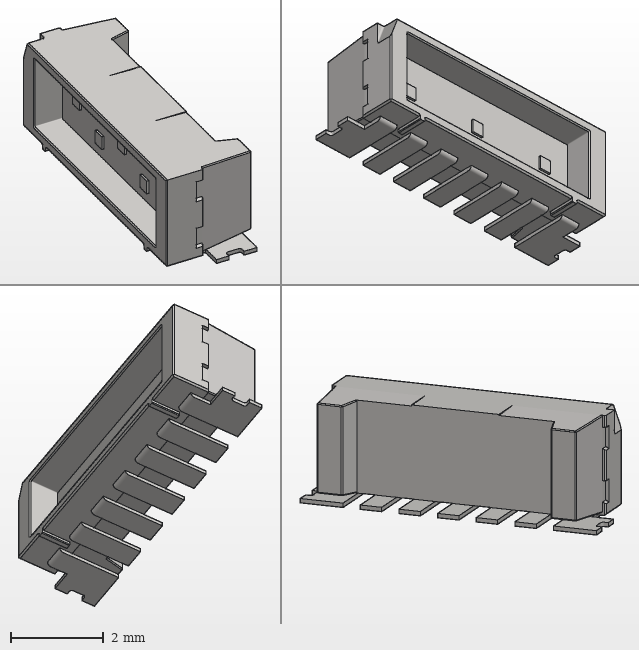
import cadquery as cq

SIDES = (-1, 1)
OVERLAP = 0.1

body_width = 6.4
body_depth = 0.92
body_bottom = 0.1
body_top = 2.35
edge_chamfer = 0.03
bottom_chamfer = 0.04

overall_depth = 2.2
rear_width = 6.24
ear_outer_x = 3.02
ear_inner_x = 2.43
ear_root_x = 2.29
rear_wall_y = 1.7
rear_start_y = 0.95
rear_bottom_front = 0.16
rear_bottom_back = 0.29
top_drop = 0.04
flat_top_width = 2.04
ear_chamfer = 0.025

cavity_width = 5.4
cavity_bottom = 0.355
cavity_top = 2.11
cavity_corner = 0.02
cavity_depth = 0.7
lip_chamfer = 0.03
contact_pitch = 1.0
contact_count = 5
contact_width = 0.3
contact_height = 0.33
contact_length = 0.05
upper_contact_z = 1.23
lower_contact_z = 0.79

key_width = 0.2
key_height = 0.55
key_depth = 0.43
key_fillet = 0.045
recess_bottoms = (0.4, 1.6)
recess_height = 0.48
recess_depth = 0.18
recess_floor_drop = 0.035
rail_x = 2.26
rail_width = 0.14
rail_length = 0.7
rail_bottom = 0.01
rail_fillet = 0.05
rail_chamfer = 0.02

sheet = 0.1
lead_pitch = 0.9
lead_count = 7
lead_width = 0.5
lead_front = 0.6
lead_back = 2.1
bend_radius = 0.1
tab_front = 1.1
tab_end_x = 3.45
tab_notch_depth = 0.15
tab_notch_front = 1.41
tab_notch_back = 1.78
notch_fillet = 0.06


def box(x_min, x_max, y_min, y_max, z_min, z_max):
    """Axis-aligned box given by its limits."""
    size = (x_max - x_min, y_max - y_min, z_max - z_min)
    return cq.Workplane("XY").box(*size, centered=False).translate((x_min, y_min, z_min))


def side_prism(points, x_min, x_max):
    """Extrude a (y, z) outline along X."""
    return cq.Workplane("YZ").polyline(points).close().extrude(x_max - x_min).translate((x_min, 0, 0))


def front_prism(points, y_min, y_max):
    """Extrude an (x, z) outline along Y."""
    return cq.Workplane("XZ").polyline(points).close().extrude(y_min - y_max).translate((0, y_min, 0))


def front_block():
    half = body_width / 2
    block = box(-half, half, 0, body_depth, body_bottom, body_top)
    block = block.edges("<Z and (<X or >X or <Y)").chamfer(bottom_chamfer)
    block = block.faces(">Y").edges("<X or >X").chamfer(edge_chamfer)
    return block.faces("<Y").edges(">Z or <X or >X").chamfer(edge_chamfer)


def rear_block():
    half = rear_width / 2
    right_outline = [
        (half, body_depth),
        (ear_outer_x, overall_depth),
        (ear_inner_x, overall_depth),
        (ear_root_x, rear_wall_y),
    ]
    left_outline = [(-x, y) for x, y in reversed(right_outline)]
    plan = cq.Workplane("XY").polyline(right_outline + left_outline).close().extrude(body_top)

    profile = side_prism(
        [
            (body_depth, rear_bottom_front),
            (overall_depth, rear_bottom_back),
            (overall_depth, body_top - top_drop),
            (rear_start_y, body_top),
            (body_depth, body_top),
        ],
        -half,
        half,
    )
    block = plan.intersect(profile)

    slope_x, slope_y = ((ear_inner_x + ear_root_x) / 2, (rear_wall_y + overall_depth) / 2)
    rims = block.faces(">Y or >X or <X").edges("not <Y")
    for side in SIDES:
        slope_center = (side * slope_x, slope_y, body_top / 2)
        rims = rims.add(block.faces(cq.NearestToPointSelector(slope_center)).edges(">Z or <Z"))
    block = block.newObject(rims.vals()).chamfer(ear_chamfer)

    flat_half = flat_top_width / 2
    flat_top = box(-flat_half, flat_half, body_depth, rear_wall_y, body_top / 2, body_top)
    return block.union(flat_top)


def cavity():
    """Rounded rectangular pocket with a chamfered lip at the mating face."""
    half = cavity_width / 2
    pocket = box(-half, half, 0, cavity_depth, cavity_bottom, cavity_top)
    pocket = pocket.edges("|Y").fillet(cavity_corner)
    lip = box(
        -half - lip_chamfer,
        half + lip_chamfer,
        -lip_chamfer,
        lip_chamfer,
        cavity_bottom - lip_chamfer,
        cavity_top + lip_chamfer,
    )
    lip = lip.edges("|Y").fillet(cavity_corner + lip_chamfer)
    return pocket.union(lip.faces(">Y").edges().chamfer(lip_chamfer))


def corner_key():
    """Sloped notch in the upper -X front corner."""
    corner_x = -body_width / 2
    slope_end = (corner_x + key_width / 2, key_depth, body_top - key_height / 2)
    points = [
        (corner_x, body_top),
        (corner_x + key_width, body_top),
        (corner_x, body_top - key_height),
    ]
    key = front_prism(points, 0, key_depth)
    return key.edges(cq.NearestToPointSelector(slope_end)).fillet(key_fillet)


def side_recesses():
    """Shallow recesses at the rear of both front-block sides, with floors sloping outwards."""
    inner = rear_width / 2
    outer = body_width / 2
    recesses = cq.Workplane("XY")
    for side in SIDES:
        for bottom in recess_bottoms:
            points = [
                (side * inner, bottom),
                (side * outer, bottom - recess_floor_drop),
                (side * outer, bottom + recess_height),
                (side * inner, bottom + recess_height),
            ]
            recesses = recesses.add(front_prism(points, body_depth - recess_depth, body_depth))
    return recesses.combine()


def contacts():
    """Contact tips alternating between an upper and a lower row on the cavity floor."""
    tips = []
    for index in range(contact_count):
        x = (index - (contact_count - 1) / 2) * contact_pitch
        z = upper_contact_z if index % 2 == 0 else lower_contact_z
        tip = cq.Workplane("XY").box(contact_width, contact_length + OVERLAP, contact_height)
        tips.append(tip.translate((x, cavity_depth + (OVERLAP - contact_length) / 2, z)))
    return tips


def rail(side):
    """Narrow bottom rail, flared where it meets the housing."""
    half = rail_width / 2
    root = body_bottom + bottom_chamfer
    shape = (
        cq.Workplane("XZ")
        .moveTo(-half, rail_bottom + rail_chamfer)
        .lineTo(rail_chamfer - half, rail_bottom)
        .lineTo(half - rail_chamfer, rail_bottom)
        .lineTo(half, rail_bottom + rail_chamfer)
        .lineTo(half, root - rail_fillet)
        .radiusArc((half + rail_fillet, root), rail_fillet)
        .lineTo(-half - rail_fillet, root)
        .radiusArc((-half, root - rail_fillet), rail_fillet)
        .close()
        .extrude(-rail_length)
    )
    return shape.translate((side * rail_x, 0, 0))


def lead(x):
    """Flat lead with a rounded bend going up into the housing."""
    profile = side_prism(
        [
            (lead_front, 0),
            (lead_back, 0),
            (lead_back, sheet),
            (lead_front + sheet, sheet),
            (lead_front + sheet, body_bottom + OVERLAP),
            (lead_front, body_bottom + OVERLAP),
        ],
        x - lead_width / 2,
        x + lead_width / 2,
    )
    return profile.edges("|X and <Z and <Y").fillet(bend_radius)


def tab(side):
    """Hold-down plate widening the outermost lead, notched at its free end."""
    inner_x = lead_pitch * (lead_count - 1) / 2
    plate = box(inner_x, tab_end_x, tab_front, lead_back, 0, sheet)
    notch = box(tab_end_x - tab_notch_depth, tab_end_x, tab_notch_front, tab_notch_back, 0, sheet)
    plate = plate.cut(notch.edges("|Z and <X").fillet(notch_fillet))
    return plate if side > 0 else plate.mirror("YZ")


result = front_block().union(rear_block())
result = result.cut(cavity()).cut(corner_key()).cut(side_recesses())
for contact in contacts():
    result = result.union(contact)
for lead_index in range(lead_count):
    result = result.union(lead((lead_index - (lead_count - 1) / 2) * lead_pitch))
for side in SIDES:
    result = result.union(tab(side)).union(rail(side))